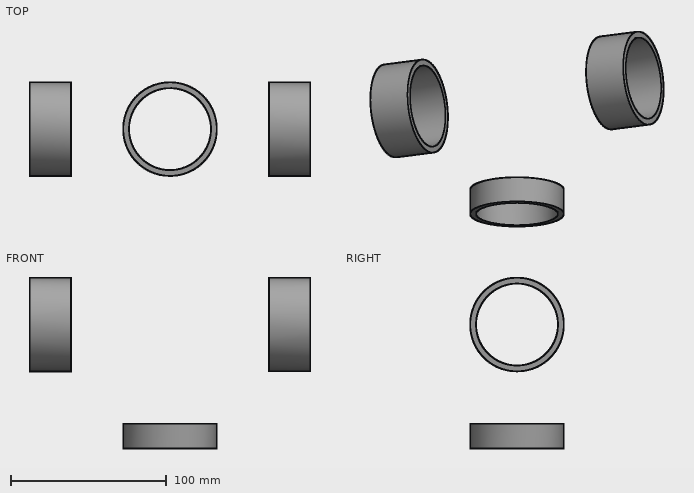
import cadquery as cq

outer_diameter = 60.3
wall = 3.91
inner_diameter = outer_diameter - 2 * wall

sleeve_start = 63.5

overall_width = 180.0
overall_height = 109.79

side_length = overall_width / 2 - sleeve_start
lower_length = overall_height - outer_diameter / 2 - sleeve_start


def make_sleeve(direction, length):
    """Plain tube running outward along direction from its inner end."""
    axis = cq.Vector(*direction)
    end_plane = cq.Plane(origin=(axis * sleeve_start).toTuple(), normal=direction)
    return (
        cq.Workplane(end_plane)
        .circle(outer_diameter / 2)
        .circle(inner_diameter / 2)
        .extrude(length)
    )


side_sleeves = [make_sleeve((side, 0, 0), side_length) for side in (-1, 1)]

lower_sleeve = make_sleeve((0, 0, -1), lower_length)

result = cq.Compound.makeCompound([
    *[sleeve.val() for sleeve in side_sleeves],
    lower_sleeve.val(),
])